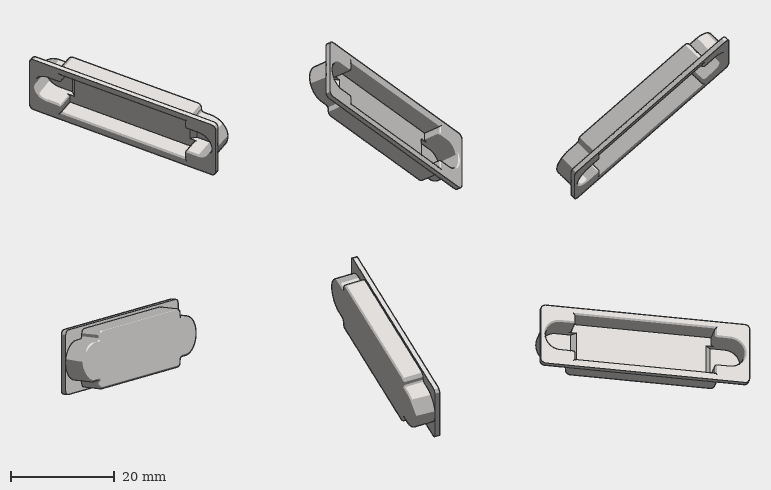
import cadquery as cq

flange_length = 41.2
flange_height = 12.7
flange_thickness = 1.0
flange_corner_radius = 1.0

total_depth = 5.3
pocket_length = 27.5
pocket_height = 9.5
pocket_depth = 3.8
bay_depth = 4.8
bay_radius = 2.9
rim_radius = 0.5

wall = 1.0
shell_length = pocket_length + 2 * wall
shell_height = pocket_height + 2 * wall
shell_end_radius = bay_radius + wall
shell_corner_radius = 1.0
shell_inner_corner_radius = 0.5
shell_back_radius = 0.5

bay_center_x = flange_length / 2 - shell_end_radius
bay_step = bay_depth - pocket_depth

EDGE_TOLERANCE = 0.01


def block(length, height, depth):
    """Box centred in X and Z, running from the front face toward +Y."""
    return cq.Workplane("XY").box(length, depth, height, centered=(True, False, True))


def stadium(radius, depth):
    """Round-ended bar along X whose end arcs are centred on the two bays."""
    return (
        cq.Workplane("XZ")
        .slot2D(2 * (bay_center_x + radius), 2 * radius)
        .extrude(-depth)
    )


def make_flange():
    plate = block(flange_length, flange_height, flange_thickness)
    return plate.edges("|Y").fillet(flange_corner_radius)


def junction_edges(half_length, half_height):
    """Selector for the four edges along Y where a round-ended bar meets the end walls of a box."""
    selector = None
    for x in (-half_length, half_length):
        for z in (-half_height, half_height):
            corner = cq.selectors.BoxSelector(
                (x - EDGE_TOLERANCE, 0, z - EDGE_TOLERANCE),
                (x + EDGE_TOLERANCE, total_depth, z + EDGE_TOLERANCE),
            )
            along_y = corner & cq.selectors.ParallelDirSelector(cq.Vector(0, 1, 0))
            selector = along_y if selector is None else selector + along_y
    return selector


def make_shell():
    """Raised back: a rounded box joined to a round-ended bar, with a rounded back edge."""
    box = block(shell_length, shell_height, total_depth).edges("|Y").fillet(shell_corner_radius)
    shell = box.union(stadium(shell_end_radius, total_depth))
    inner_corners = junction_edges(shell_length / 2, shell_end_radius)
    shell = shell.edges(inner_corners).fillet(shell_inner_corner_radius)
    return shell.faces(">Y").edges().fillet(shell_back_radius)


def make_bay_core():
    """Solid filling both bays, with a 45 degree ramp from each bay up to the pocket floor."""
    half_length = pocket_length / 2
    ridge = (
        cq.Workplane("XY")
        .moveTo(-half_length, bay_depth)
        .lineTo(-half_length + bay_step, pocket_depth)
        .lineTo(half_length - bay_step, pocket_depth)
        .lineTo(half_length, bay_depth)
        .close()
        .extrude(bay_radius, both=True)
    )
    return stadium(bay_radius, bay_depth).cut(ridge)


def make_recess():
    return block(pocket_length, pocket_height, pocket_depth).union(make_bay_core())


def round_opening(body):
    """Round the front rim of the recess and the corners where the bays open into the pocket."""
    half_length = flange_length / 2 - EDGE_TOLERANCE
    half_height = flange_height / 2 - EDGE_TOLERANCE
    rim = cq.selectors.BoxSelector(
        (-half_length, -EDGE_TOLERANCE, -half_height),
        (half_length, EDGE_TOLERANCE, half_height),
        boundingbox=True,
    )
    bay_mouths = junction_edges(pocket_length / 2, bay_radius)
    return body.edges(rim + bay_mouths).fillet(rim_radius)


result = round_opening(make_flange().union(make_shell()).cut(make_recess()))